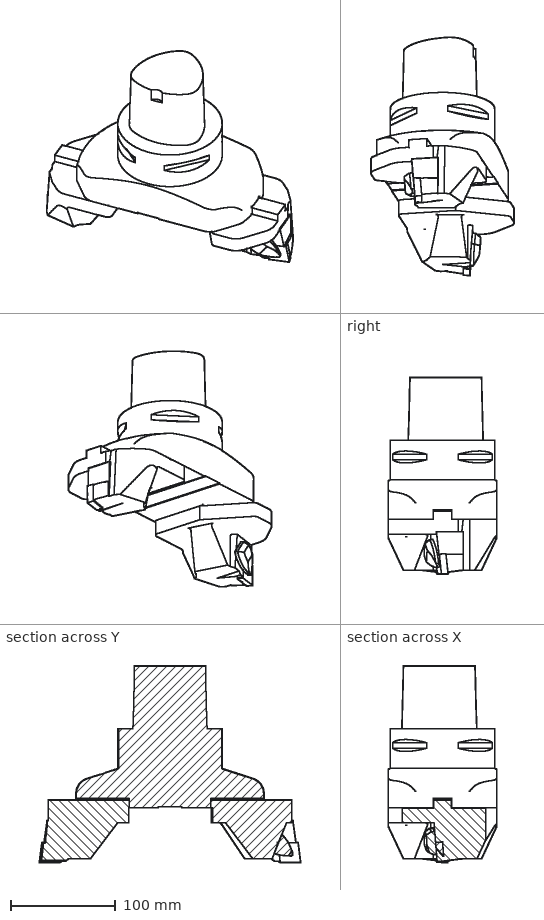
import cadquery as cq
import math


shank_length = 60.0
polygon_width = 72.0
polygon_eccentricity = 3.0
shank_taper_slope = 1 / 40
key_notch_width = 11.7
key_notch_depth = 3.0
key_notch_length = 11.5

flange_radius = 50.0
flange_height = 38.0
groove_z = -16.0
groove_floor_distance = 44.4
groove_floor_height = 5.3
groove_mouth_height = 11.5

body_bottom = -75.6
body_radius = 90.0
body_half_width = 52.0
cone_angle = 18.0
shoulder_radius = 15.0
body_chamfer_start = 64.8
chamfer_angle = 50.0
corner_radius = 15.0
keyway_height = 9.0
relief_width = 22.0
relief_depth = 0.8

plate_bottom = -90.0
plate_outer_x = 116.5
plate_inner_x = 39.4
plate_chamfer_start = 92.2
plate_inner_chamfer_start = 66.7
plate_inner_angle = 60.0
plate_outer_radius = 20.0
plate_inner_radius = 5.0
key_width = 17.6
key_height = 7.6

leg_bottom = -124.3
seat_top = -87.7
seat_bottom = -126.8
relief_wall_x = -84.4
relief_corner_y = -34.4
relief_wall_angle = 30.0
relief_corner_radius = 10.0
relief_top_radius = 2.4
gullet_wall_y = 7.2
gullet_step_start = -83.2
gullet_step_end = -88.5
flank_y = -19.8
pad_top = -109.0
pad_bend_y = -9.0
pad_flank_x = -119.2
leg_corner_angle = 45.0
leg_corner = (-93.0, -body_half_width)
ridge_run_top = 12.8
ridge_run_bottom = 21.3
flank_edge_y = -25.9
flank_edge_top_x = -114.5
flank_edge_bottom_x = -117.5
flank_start_y = -15.0
leg_rake_end = -112.0
leg_top_inner_x = -48.3
leg_top_relief_y = -13.6
leg_top_gullet_x = -53.0
leg_bottom_gullet_x = -79.0
leg_end_spare = 3.3
facet_inner_bottom = (-84.0, -37.5, leg_bottom)
facet_inner_top = (-86.0, -body_half_width, -92.5)
leg_cut_size = 200.0

seat_inner_x = -95.0
seat_top_rake_x = -117.5
seat_top_flank_x = -117.2
seat_bottom_rake_x = -123.0
seat_bottom_flank_x = -118.0
pad_top_rake_x = -121.6
pad_top_bend_x = -121.0
pad_bottom_rake_x = -124.0
pad_bottom_bend_x = -122.8
seat_ramp_top_x = -96.7
seat_ramp_bottom_x = -100.2

insert_tip = (-125.0, 1.0, -128.0)
rake_slope_x = 0.2
rake_slope_z = 0.08
insert_edge = 20.0
insert_height = 19.2
insert_lean = 2.8
insert_thickness = 6.5
insert_clearance = 1.0
clamp_length = 32.4
clamp_heel_half = 8.8
clamp_mid_half = 9.4
clamp_nose_radius = 2.2
clamp_wall = 3.0
clamp_height = 8.2
clamp_draft = 30.0
clamp_angle = 35.4
clamp_heel_center = (35.0, -26.2)
clamp_slope_start = 14.0
clamp_nose_height = 2.0


def polygon_shank():
    """Tapered three-lobed shank; each wide arc is centred on the opposite lobe."""
    lobe_distance = 2 * polygon_eccentricity / (2 - math.sqrt(3))
    lobe_radius = polygon_width / 2 + polygon_eccentricity - lobe_distance
    side_radius = polygon_width - lobe_radius

    def on_arc(lobe, radius, direction):
        lobe_angle = math.radians(90 + 120 * lobe)
        angle = math.radians(direction)
        return (lobe_distance * math.cos(lobe_angle) + radius * math.cos(angle),
                lobe_distance * math.sin(lobe_angle) + radius * math.sin(angle))

    outline = cq.Workplane("XY").moveTo(*on_arc(0, lobe_radius, 60))
    for lobe in range(3):
        middle = 90 + 120 * lobe
        outline = outline.threePointArc(on_arc(lobe, lobe_radius, middle),
                                        on_arc(lobe, lobe_radius, middle + 30))
        opposite = (lobe + 2) % 3
        outline = outline.threePointArc(on_arc(opposite, side_radius, middle + 60),
                                        on_arc(opposite, side_radius, middle + 90))
    shank = outline.close().extrude(shank_length, taper=math.degrees(math.atan(shank_taper_slope)))

    half_chord = key_notch_width / 2
    notch_radius = (half_chord ** 2 + key_notch_depth ** 2) / (2 * key_notch_depth)
    top_face_y = -(polygon_width / 2 - polygon_eccentricity - shank_length * shank_taper_slope)
    notch_y = top_face_y + key_notch_depth - notch_radius
    notch = (cq.Workplane("XY", origin=(0, notch_y, shank_length - key_notch_length))
             .circle(notch_radius).extrude(key_notch_length))
    return shank.cut(notch)


def gripper_groove(angle):
    """Straight groove with a flat floor and sloping sides, cut across the flange."""
    floor = groove_floor_height / 2
    mouth = groove_mouth_height / 2
    section = [(groove_floor_distance, groove_z - floor), (flange_radius, groove_z - mouth),
               (flange_radius, groove_z + mouth), (groove_floor_distance, groove_z + floor)]
    return (cq.Workplane("XZ").polyline(section).close()
            .extrude(flange_radius, both=True)
            .rotate((0, 0, 0), (0, 0, 1), angle))


def body_block():
    """Turned cone and shoulder, trimmed to a flat-sided outline with angled corners."""
    rim_z = -flange_height - (body_radius - flange_radius) * math.tan(math.radians(cone_angle))
    turned = (cq.Workplane("XZ")
              .polyline([(0, body_bottom), (body_radius, body_bottom), (body_radius, rim_z),
                         (flange_radius, -flange_height), (0, -flange_height)]).close()
              .revolve(360, (0, 0), (0, 1)))
    margin = 1.0
    rim = cq.selectors.BoxSelector((-body_radius - margin, -body_radius - margin, rim_z - margin),
                                   (body_radius + margin, body_radius + margin, rim_z + margin),
                                   boundingbox=True)
    turned = turned.edges(rim).fillet(shoulder_radius)

    tip_x = body_chamfer_start + body_half_width / math.tan(math.radians(chamfer_angle))
    outline = [(tip_x, 0), (body_chamfer_start, body_half_width),
               (-body_chamfer_start, body_half_width), (-tip_x, 0),
               (-body_chamfer_start, -body_half_width), (body_chamfer_start, -body_half_width)]
    height = -body_bottom
    prism = cq.Workplane("XY", origin=(0, 0, body_bottom)).polyline(outline).close().extrude(height)
    barrel = cq.Workplane("XY", origin=(0, 0, body_bottom)).circle(body_radius).extrude(height)
    prism = prism.intersect(barrel).edges("|Z").fillet(corner_radius)
    return turned.intersect(prism)


def make_body():
    flange = (cq.Workplane("XY", origin=(0, 0, -flange_height))
              .circle(flange_radius).extrude(flange_height))
    for angle in (45, 135, 225, 315):
        flange = flange.cut(gripper_groove(angle))
    keyways = (cq.Workplane("XY", origin=(0, 0, body_bottom))
               .box(2 * body_radius, key_width, keyway_height, centered=(True, True, False))
               .cut(cq.Workplane("XY", origin=(0, 0, body_bottom))
                    .box(2 * plate_inner_x, key_width, keyway_height, centered=(True, True, False))))
    relief = cq.Workplane("XY", origin=(0, 0, body_bottom)).box(
        relief_width, 2 * body_half_width, relief_depth, centered=(True, True, False))
    return body_block().union(flange).union(polygon_shank()).cut(keyways).cut(relief)


def rake_y(x, z):
    """Height in Y of the rake plane above the point (x, z)."""
    tip_x, tip_y, tip_z = insert_tip
    return tip_y + rake_slope_x * (x - tip_x) + rake_slope_z * (z - tip_z)


def rake_plane():
    """Plane on the rake face: local x runs inward, local y runs down."""
    return cq.Plane(origin=insert_tip, xDir=(1, rake_slope_x, 0),
                    normal=(-rake_slope_x, 1, -rake_slope_z))


def leg_ridge(run):
    """Point on the 45 degree corner face of the leg, a given run from its corner."""
    return (leg_corner[0] - run, leg_corner[1] + run)


def vertical_edge(x, y):
    """Selector for the vertical edge that passes through (x, y)."""
    return cq.selectors.BoxSelector((x - 1, y - 1, leg_bottom - 1),
                                    (x + 1, y + 1, body_bottom + 1))


def ruled_loft(top_points, top_z, bottom_points, bottom_z):
    return (cq.Workplane("XY", origin=(0, 0, top_z)).polyline(top_points).close()
            .workplane(offset=bottom_z - top_z).polyline(bottom_points).close()
            .loft(ruled=True))


def slider_plate():
    """Flat plate and the key that runs in the keyway of the body."""
    corner_y = body_half_width - ((plate_outer_x - plate_chamfer_start)
                                  * math.tan(math.radians(chamfer_angle)))
    leg_arc_start_x = leg_corner[0] + corner_radius * math.tan(math.radians(leg_corner_angle / 2))
    inner_drop = ((plate_inner_chamfer_start - plate_inner_x)
                  * math.tan(math.radians(plate_inner_angle)))
    side = body_half_width
    outer_top = (-plate_outer_x, corner_y)
    chamfer_top = (-plate_chamfer_start, side)
    inner_top = (-plate_inner_chamfer_start, side)
    inner_bottom = (-plate_inner_x, -side)
    outline = [outer_top, chamfer_top, inner_top, (-plate_inner_x, side - inner_drop),
               inner_bottom, (leg_arc_start_x, -side),
               (flank_edge_top_x, flank_y), (-plate_outer_x, flank_start_y)]
    plate = (cq.Workplane("XY", origin=(0, 0, plate_bottom))
             .polyline(outline).close().extrude(body_bottom - plate_bottom))
    plate = plate.edges(vertical_edge(*outer_top)).fillet(plate_outer_radius)
    plate = plate.edges(vertical_edge(*chamfer_top)).fillet(corner_radius)
    for corner in (inner_top, inner_bottom):
        plate = plate.edges(vertical_edge(*corner)).fillet(plate_inner_radius)
    key = cq.Workplane("XY").box(
        plate_outer_x - plate_inner_x, key_width, key_height, centered=False)
    return plate.union(key.translate((-plate_outer_x, -key_width / 2, body_bottom)))


def half_space(origin, normal, x_dir):
    """Large block on the side of the plane that its normal points to."""
    plane = cq.Plane(origin=origin, xDir=x_dir, normal=normal)
    return cq.Workplane(plane).rect(leg_cut_size, leg_cut_size).extrude(leg_cut_size)


def plane_cut(point_a, point_b, point_c):
    """Half space of the plane through three points, on the lower side in Z."""
    a, b, c = cq.Vector(*point_a), cq.Vector(*point_b), cq.Vector(*point_c)
    normal = (b - a).cross(c - a)
    if normal.z > 0:
        normal = normal * -1
    return half_space(a, normal, b - a)


def slider_leg():
    """Leg with leaning outer faces, a cut-back wall on each side and a sloping inner end."""
    end_x = leg_top_inner_x + leg_end_spare
    end_y = relief_corner_y + (end_x - relief_wall_x) * math.tan(math.radians(relief_wall_angle))

    def section(z, ridge_run, flank_edge_x):
        return [(relief_wall_x, -body_half_width), (relief_wall_x, relief_corner_y), (end_x, end_y),
                (end_x, gullet_wall_y), (gullet_step_start, gullet_wall_y),
                (gullet_step_end, rake_y(gullet_step_end, z)), (leg_rake_end, rake_y(leg_rake_end, z)),
                (flank_edge_x, flank_y), (flank_edge_x, flank_edge_y),
                leg_ridge(ridge_run), leg_corner]

    leg = ruled_loft(section(body_bottom, ridge_run_top, flank_edge_top_x), body_bottom,
                     section(leg_bottom, ridge_run_bottom, flank_edge_bottom_x), leg_bottom)
    leg = leg.edges(vertical_edge(relief_wall_x, relief_corner_y)).fillet(relief_corner_radius)
    leg = leg.edges(vertical_edge(*leg_corner)).fillet(corner_radius)
    facet_x, facet_y = leg_ridge(ridge_run_bottom)
    facet = plane_cut(facet_inner_bottom, (facet_x, facet_y, leg_bottom), facet_inner_top)
    inner_slope = plane_cut((leg_top_inner_x, leg_top_relief_y, plate_bottom),
                            (leg_top_gullet_x, gullet_wall_y, plate_bottom),
                            (leg_bottom_gullet_x, gullet_wall_y, leg_bottom))
    return leg.cut(facet).cut(inner_slope)


def insert_seat():
    """Overhanging nose of the leg that carries the insert."""
    def section(z, rake_x, flank_points):
        return [(seat_inner_x, rake_y(seat_inner_x, z)), (rake_x, rake_y(rake_x, z)),
                *flank_points, (seat_inner_x, flank_y)]

    upper = ruled_loft(
        section(seat_top, seat_top_rake_x, [(seat_top_flank_x, flank_y)]), seat_top,
        section(seat_bottom, seat_bottom_rake_x, [(seat_bottom_flank_x, flank_y)]), seat_bottom)
    pad_flank = (pad_flank_x, flank_y)
    pad = ruled_loft(
        section(pad_top, pad_top_rake_x, [(pad_top_bend_x, pad_bend_y), pad_flank]), pad_top,
        section(seat_bottom, pad_bottom_rake_x, [(pad_bottom_bend_x, pad_bend_y), pad_flank]),
        seat_bottom)
    underside = plane_cut((seat_ramp_bottom_x, 0, seat_bottom), (pad_bottom_rake_x, 0, seat_bottom),
                          (seat_ramp_bottom_x, flank_y, leg_bottom))
    ramp = plane_cut((seat_ramp_top_x, 0, leg_bottom), (seat_ramp_top_x, flank_y, leg_bottom),
                     (seat_ramp_bottom_x, 0, seat_bottom))
    return upper.union(pad).cut(underside).cut(ramp)


def make_insert():
    """Four-sided cutting insert whose top lies in the rake plane."""
    outline = [(0, 0), (insert_edge, 0), (insert_edge + insert_lean, -insert_height),
               (insert_lean, -insert_height)]
    return (cq.Workplane(rake_plane()).polyline(outline).close()
            .extrude(-insert_thickness, taper=insert_clearance))


def make_clamp():
    """Boat-shaped clamp: wide at the heel, falling to a narrow nose over the insert."""
    nose_center = clamp_length - clamp_nose_radius
    middle = clamp_length / 2
    clamp = (cq.Workplane("XY")
             .moveTo(0, -clamp_heel_half)
             .threePointArc((middle, -clamp_mid_half), (nose_center, -clamp_nose_radius))
             .threePointArc((clamp_length, 0), (nose_center, clamp_nose_radius))
             .threePointArc((middle, clamp_mid_half), (0, clamp_heel_half))
             .close().extrude(clamp_wall)
             .faces(">Z").wires().toPending()
             .extrude(clamp_height - clamp_wall, taper=clamp_draft))
    slope = (cq.Workplane("XZ")
             .polyline([(clamp_slope_start, clamp_height), (clamp_length, clamp_nose_height),
                        (clamp_length, clamp_height)]).close()
             .extrude(clamp_length, both=True))
    clamp = clamp.cut(slope)
    heel_x, heel_y = clamp_heel_center
    clamp = clamp.rotate((0, 0, 0), (0, 0, 1), 180 - clamp_angle).translate((heel_x, heel_y, 0))
    return cq.Workplane(clamp.val().moved(cq.Location(rake_plane())))


def fillet_under_plate(slider, low_corner, high_corner):
    """Round the corner where the leg walls inside the given X-Y box meet the plate."""
    margin = 0.5
    low = (low_corner[0] - margin, low_corner[1] - margin, plate_bottom - margin)
    high = (high_corner[0] + margin, high_corner[1] + margin, plate_bottom + margin)
    walls = cq.selectors.BoxSelector(low, high, boundingbox=True)
    return slider.edges(walls).fillet(relief_top_radius)


def make_slider(insert, clamp):
    slider = slider_plate().union(slider_leg())
    slider = fillet_under_plate(slider, (relief_wall_x, relief_corner_y - relief_corner_radius),
                                (leg_top_inner_x, leg_top_relief_y))
    slider = fillet_under_plate(slider, (gullet_step_start, gullet_wall_y),
                                (leg_top_gullet_x, gullet_wall_y))
    slider = slider.union(insert_seat())
    return slider.cut(insert).cut(clamp)


body = make_body()
insert = make_insert()
clamp = make_clamp()
slider = make_slider(insert, clamp)

bodies = [*body.solids().vals()]
for turn in (0, 180):
    for piece in (slider, insert, clamp):
        bodies.extend(piece.rotate((0, 0, 0), (0, 0, 1), turn).solids().vals())
result = cq.Compound.makeCompound(bodies)